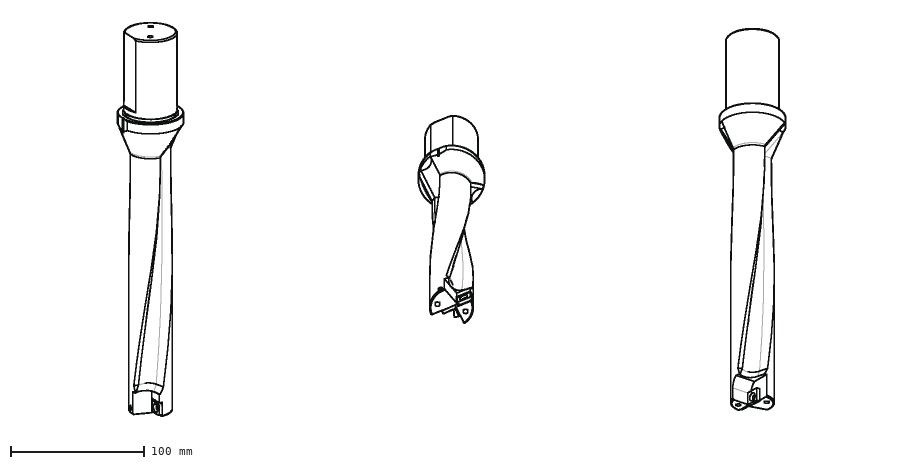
import cadquery as cq
import math

total_length = 304.5
nose_z = 0.5
shank_radius = 20.0
body_radius = 16.5
flange_radius = 25.0
flange_bottom_z = 231.7
flange_top_z = 239.5
cone_bottom_z = 210.5
cone_bottom_radius = 17.0
cone_blend_height = 1.8
shank_chamfer = 1.2
flange_chamfer = 0.5
nose_chamfer = 1.0

relief_radius = 19.2
relief_outer_radius = 21.0
relief_depth = 1.0
relief_top_z = 241.5

shank_flat_y = -18.0
shank_flat_bottom_z = 245.7
flange_flat_y = -24.0
notch_width = 1.2
notch_depth = 0.5
notch_height = flange_top_z - cone_bottom_z

flute_wall_x = -2.0
flute_floor_y = -1.0
flute_corner_y = -8.2
flute_lip_x = -13.5
flute_lip_rise = 1.8
flute_reach = 27.5
section_edge_x = -body_radius

flute_top_drop = 1.0
flute_top_z = cone_bottom_z - flute_top_drop
turn_start_z = 201.0
helix_start_z = 112.7
flute_bottom_z = 24.5
turn_per_unit = 0.5747
path_points = 12
guide_radius = 61.0

top_runout_slope_x = -0.2
top_runout_slope_y = -0.7
bottom_runout_slope_x = -0.5
bottom_runout_slope_y = 0.0

pocket_top_z = 19.0
pocket_wall_top_x = -1.2
pocket_wall_bow = 0.25
seat_depth = 1.0
outer_pocket_edge_x = 1.5
outer_pocket_floor_x = 5.2
seat_clearance = 0.5
seat_top_clearance = 1.5

central_insert_width = 11.0
insert_thickness = 2.7
central_insert_right_x = 3.5
central_insert_top_z = 10.5
outer_insert_left_x = 5.5
outer_insert_bottom_z = 1.8
outer_insert_top_z = 10.7
outer_insert_right_x = 16.0
outer_insert_corner_radius = 1.0
screw_diameter = 3.5
screw_sink_diameter = 6.5
screw_hole_depth = 3.7
side_hole_depth = 6.0
central_screw_x = central_insert_right_x - central_insert_width / 2
central_screw_z = 5.0
outer_screw_x = (outer_insert_left_x + outer_insert_right_x) / 2
outer_screw_z = (outer_insert_bottom_z + outer_insert_top_z) / 2

coolant_diameter = 3.7
coolant_circle_radius = 11.0
coolant_top_angle = 150.0
coolant_turn = 110.0

half_turn = 180.0


def flute_turn(z):
    """Angle in degrees by which the flute has turned on its way down to height z."""
    ramp = turn_start_z - helix_start_z
    if z >= turn_start_z:
        return 0.0
    if z >= helix_start_z:
        return turn_per_unit * (turn_start_z - z) ** 2 / (2 * ramp)
    return turn_per_unit * (ramp / 2 + helix_start_z - z)


total_turn = flute_turn(flute_bottom_z)


def both_sides(solid):
    """The shape and its copy half a turn around the drill axis."""
    return [solid.rotate((0, 0, 0), (0, 0, 1), i * half_turn) for i in range(2)]


def twisted_path(radius, angle_at):
    """Spline down the drill body at a radius, at the angle that angle_at gives for each height."""
    step = (flute_top_z - flute_bottom_z) / path_points
    points = []
    for i in range(path_points + 1):
        z = flute_top_z - i * step
        angle = math.radians(angle_at(z))
        points.append((radius * math.cos(angle), radius * math.sin(angle), z))
    return cq.Workplane("XY").spline(points)


def turned_blank():
    blank = (
        cq.Workplane("XZ")
        .moveTo(0, nose_z)
        .lineTo(body_radius - nose_chamfer, nose_z)
        .lineTo(body_radius, nose_z + nose_chamfer)
        .lineTo(body_radius, cone_bottom_z - cone_blend_height)
        .lineTo(cone_bottom_radius, cone_bottom_z)
        .lineTo(flange_radius, flange_bottom_z)
        .lineTo(flange_radius, flange_top_z - flange_chamfer)
        .lineTo(flange_radius - flange_chamfer, flange_top_z)
        .lineTo(relief_outer_radius, flange_top_z)
        .lineTo(relief_outer_radius, flange_top_z - relief_depth)
        .lineTo(relief_radius, flange_top_z - relief_depth)
        .lineTo(relief_radius, relief_top_z)
        .lineTo(shank_radius, relief_top_z)
        .lineTo(shank_radius, total_length - shank_chamfer)
        .lineTo(shank_radius - shank_chamfer, total_length)
        .lineTo(0, total_length)
        .close()
    )
    return blank.revolve(360, (0, 0), (0, 1))


def flat_cut(flat_y, bottom_z, top_z):
    """Block that cuts a flat facing -Y."""
    width = 2 * flange_radius
    depth = flange_radius
    return (
        cq.Workplane("XY", origin=(0, flat_y - depth / 2, bottom_z))
        .box(width, depth, top_z - bottom_z, centered=(True, True, False))
    )


def index_notch():
    return (
        cq.Workplane("XY", origin=(0, flange_flat_y, cone_bottom_z))
        .box(notch_width, 2 * notch_depth, notch_height, centered=(True, True, False))
    )


def flute_section(z):
    """Flute cross-section: a flat wall, an arc tangent to it and a sloping lip."""
    arc_width = flute_wall_x - flute_lip_x
    arc_height = flute_floor_y - flute_corner_y
    arc_radius = (arc_width ** 2 + arc_height ** 2) / (2 * arc_width)
    center_x = flute_wall_x - arc_radius
    diagonal = arc_radius * math.sqrt(0.5)
    return (
        cq.Workplane("XY", origin=(0, 0, z))
        .moveTo(flute_wall_x, -flute_reach)
        .lineTo(flute_wall_x, flute_corner_y)
        .threePointArc((center_x + diagonal, flute_corner_y + diagonal), (flute_lip_x, flute_floor_y))
        .lineTo(section_edge_x, flute_floor_y + flute_lip_rise)
        .lineTo(-flute_reach, flute_floor_y + flute_lip_rise)
        .lineTo(-flute_reach, -flute_reach)
        .close()
    )


def oblique_runout(z, rise, slope_x, slope_y):
    """Flute section pushed from height z by rise while it moves sideways."""
    wire = flute_section(z).val()
    height = abs(rise)
    return cq.Solid.extrudeLinear(wire, [], cq.Vector(slope_x * height, slope_y * height, rise))


def flute():
    """Pieces of one flute: the twisted run and the run-outs above and below it."""
    guide = twisted_path(guide_radius, lambda z: -flute_turn(z))
    spine = cq.Workplane("XY").polyline([(0, 0, flute_top_z), (0, 0, flute_bottom_z)])
    twisted = flute_section(flute_top_z).sweep(spine, auxSpine=guide).val()
    top_rise = flange_bottom_z - flute_top_z
    top = oblique_runout(flute_top_z, top_rise, top_runout_slope_x, top_runout_slope_y)
    bottom_rise = pocket_top_z - flute_bottom_z
    bottom = oblique_runout(flute_bottom_z, bottom_rise, bottom_runout_slope_x, bottom_runout_slope_y)
    bottom = bottom.rotate((0, 0, 0), (0, 0, 1), -total_turn)
    return [twisted, top, bottom]


def central_pocket():
    """Pocket on the (-X, +Y) side, with a wall that curves over toward the flute."""
    middle_x = central_insert_right_x - pocket_wall_bow * (central_insert_right_x - pocket_wall_top_x)
    middle_z = (central_insert_top_z + pocket_top_z) / 2
    return (
        cq.Workplane("XZ", origin=(0, -seat_depth, 0))
        .moveTo(-flute_reach, 0)
        .lineTo(central_insert_right_x, 0)
        .lineTo(central_insert_right_x, central_insert_top_z)
        .threePointArc((middle_x, middle_z), (pocket_wall_top_x, pocket_top_z))
        .lineTo(-flute_reach, pocket_top_z)
        .close()
        .extrude(-flute_reach)
    )


def outer_pocket():
    """Pocket on the (+X, -Y) side: a sloping wall and a floor level with the insert face."""
    floor_y = seat_depth - insert_thickness
    return (
        cq.Workplane("XY")
        .moveTo(outer_pocket_edge_x, -body_radius)
        .lineTo(outer_pocket_floor_x, floor_y)
        .lineTo(flute_reach, floor_y)
        .lineTo(flute_reach, -flute_reach)
        .lineTo(outer_pocket_edge_x, -flute_reach)
        .close()
        .extrude(pocket_top_z)
    )


def outer_seat():
    """Recess in the outer pocket floor that holds the insert with clearance around it."""
    left_x = outer_insert_left_x - seat_clearance
    top_z = outer_insert_top_z + seat_top_clearance
    return (
        cq.Workplane("XZ", origin=(0, seat_depth, 0))
        .moveTo(left_x, 0)
        .lineTo(flute_reach, 0)
        .lineTo(flute_reach, top_z)
        .lineTo(left_x, top_z)
        .close()
        .extrude(insert_thickness)
    )


def screw_hole(x, z, seat_y, direction):
    """Blind hole for an insert screw; direction is the way into the body along Y."""
    return cq.Workplane(cq.Solid.makeCylinder(
        screw_diameter / 2, screw_hole_depth, cq.Vector(x, seat_y, z), cq.Vector(0, direction, 0)
    ))


def side_hole():
    """Blind hole in the -Y side of the body, in line with the central screw."""
    return (
        cq.Workplane("XZ", origin=(central_screw_x, side_hole_depth - body_radius, central_screw_z))
        .circle(screw_diameter / 2)
        .extrude(flute_reach)
    )


def coolant_hole():
    """Hole that runs straight through the shank, turns along the body and leaves at the nose."""

    def angle_at(z):
        return coolant_top_angle - coolant_turn * flute_turn(z) / total_turn

    def straight_hole(angle, bottom_z, top_z):
        x = coolant_circle_radius * math.cos(math.radians(angle))
        y = coolant_circle_radius * math.sin(math.radians(angle))
        plane = cq.Workplane("XY", origin=(x, y, bottom_z))
        return plane.circle(coolant_diameter / 2).extrude(top_z - bottom_z)

    shank = straight_hole(coolant_top_angle, flute_top_z, total_length)
    nose = straight_hole(coolant_top_angle - coolant_turn, 0, flute_bottom_z)
    path = twisted_path(coolant_circle_radius, angle_at)
    start = path.val().startPoint()
    twisted = cq.Workplane("XY", origin=start.toTuple()).circle(coolant_diameter / 2).sweep(path)
    return [shank.val(), twisted.val(), nose.val()]


def make_drill_body():
    body = (
        turned_blank()
        .cut(flat_cut(shank_flat_y, shank_flat_bottom_z, total_length))
        .cut(flat_cut(flange_flat_y, cone_bottom_z, flange_top_z))
        .cut(index_notch())
    )
    for piece in flute() + coolant_hole():
        for cutter in both_sides(piece):
            body = body.cut(cq.Workplane(cutter))
    for cutter in [central_pocket(), outer_pocket(), outer_seat(), side_hole()]:
        body = body.cut(cutter)
    body = body.cut(screw_hole(central_screw_x, central_screw_z, -seat_depth, -1))
    body = body.cut(screw_hole(outer_screw_x, outer_screw_z, seat_depth, 1))
    return body


def screw_cutter(x, face_y, z, direction):
    """Through hole with a countersink at the face; direction is the way into the insert along Y."""
    sink_depth = (screw_sink_diameter - screw_diameter) / 2
    hole = cq.Solid.makeCylinder(
        screw_diameter / 2, insert_thickness, cq.Vector(x, face_y, z), cq.Vector(0, direction, 0)
    )
    sink = cq.Solid.makeCone(
        screw_sink_diameter / 2, screw_diameter / 2, sink_depth,
        cq.Vector(x, face_y, z), cq.Vector(0, direction, 0),
    )
    return cq.Workplane(hole).union(cq.Workplane(sink))


def make_central_insert():
    """Insert that reaches past the drill axis; its lower corner is the tip of the drill."""
    left_x = central_insert_right_x - central_insert_width
    plate = (
        cq.Workplane("XZ", origin=(0, -seat_depth, 0))
        .moveTo(left_x, 0)
        .lineTo(central_insert_right_x, nose_z)
        .lineTo(central_insert_right_x, central_insert_top_z)
        .lineTo(left_x, central_insert_top_z)
        .close()
        .extrude(-insert_thickness)
    )
    face_y = insert_thickness - seat_depth
    return plate.cut(screw_cutter(central_screw_x, face_y, central_screw_z, -1))


def make_outer_insert():
    """Insert that cuts the full drill diameter."""
    plate = (
        cq.Workplane("XZ", origin=(outer_screw_x, seat_depth, outer_screw_z))
        .rect(outer_insert_right_x - outer_insert_left_x, outer_insert_top_z - outer_insert_bottom_z)
        .extrude(insert_thickness)
        .edges("|Y")
        .fillet(outer_insert_corner_radius)
    )
    face_y = seat_depth - insert_thickness
    return plate.cut(screw_cutter(outer_screw_x, face_y, outer_screw_z, 1))


drill_body = make_drill_body()
central_insert = make_central_insert()
outer_insert = make_outer_insert()

result = cq.Compound.makeCompound([drill_body.val(), central_insert.val(), outer_insert.val()])